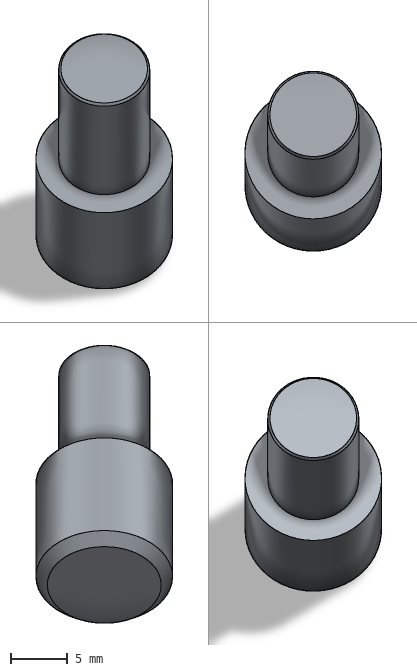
import cadquery as cq

head_diameter = 12.0
head_height = 12.0
head_chamfer = 1.0

pin_diameter = 8.0
pin_height = 13.0
pin_chamfer = 0.2


def make_head():
    """Head standing on Z = 0, chamfered around its bottom edge."""
    head = cq.Workplane("XY").circle(head_diameter / 2).extrude(head_height)
    return head.faces("<Z").edges().chamfer(head_chamfer)


def make_pin():
    """Pin standing on top of the head, chamfered around its top edge."""
    pin = cq.Workplane("XY", origin=(0, 0, head_height)).circle(pin_diameter / 2).extrude(pin_height)
    return pin.faces(">Z").edges().chamfer(pin_chamfer)


result = make_head().union(make_pin())